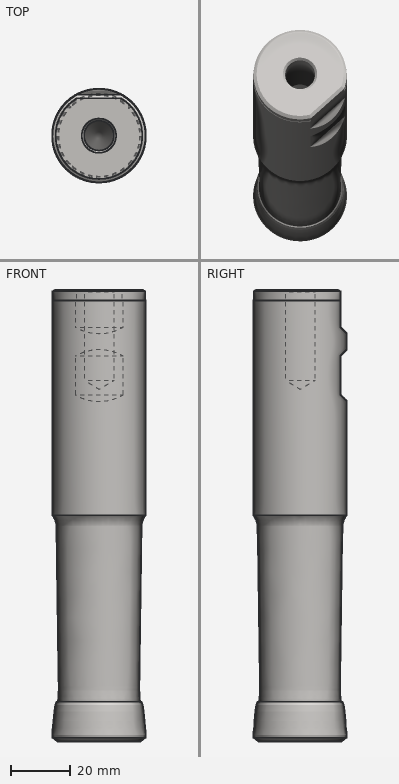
import cadquery as cq
import math

total_length = 152.4
shank_radius = 15.9
joint_height = 13.4

head_foot_radius = 13.9
head_rim_low_radius, head_rim_low_height = 15.7, 1.4
head_rim_height = 2.3
head_mid_radius, head_mid_height = 15.4, 7.0
head_upper_radius, head_upper_height = 15.1, 10.2
head_collar_radius, head_collar_height = 14.8, 12.3
head_top_radius = 14.3

neck_foot_radius = 13.9
waist_radius = 27.3 / 2
waist_low_height, waist_high_height = 17.2, 18.6
neck_top_radius, neck_top_height = 28.8 / 2, 72.7
shoulder_height = 76.4
shoulder_fillet_radius = 5.6

pilot_radius = 15.7
pilot_length = 3.5
pilot_step = shank_radius - pilot_radius
end_bevel_width = 1.0
end_bevel_height = 0.6

flat_distance = 13.7
upper_flat_length = 12.7
lower_flat_start = 22.3
lower_flat_end = 35.5
cut_clearance = 0.8

hole_diameter = 10.0
hole_depth = 30.5
hole_bevel = 0.8
drill_point_angle = 118.0


def revolve_about_z(half_outline):
    """Turn an XZ half outline that starts and ends on the Z axis."""
    return half_outline.close().revolve(360, (0, 0, 0), (0, 1, 0))


def make_head():
    outline = cq.Workplane("XZ").polyline([
        (0, 0),
        (head_foot_radius, 0),
        (head_rim_low_radius, head_rim_low_height),
        (shank_radius, head_rim_height),
        (head_mid_radius, head_mid_height),
        (head_upper_radius, head_upper_height),
        (head_collar_radius, head_collar_height),
        (head_top_radius, joint_height),
        (0, joint_height),
    ])
    return revolve_about_z(outline)


def make_turned_shank():
    rise = shoulder_height - neck_top_height
    fillet_sweep = math.asin(rise / shoulder_fillet_radius)

    def fillet_point(angle):
        return (
            neck_top_radius + shoulder_fillet_radius * (1 - math.cos(angle)),
            neck_top_height + shoulder_fillet_radius * math.sin(angle),
        )

    pilot_base = total_length - pilot_length
    outline = (
        cq.Workplane("XZ")
        .moveTo(0, joint_height)
        .lineTo(neck_foot_radius, joint_height)
        .lineTo(waist_radius, waist_low_height)
        .lineTo(waist_radius, waist_high_height)
        .lineTo(neck_top_radius, neck_top_height)
        .threePointArc(fillet_point(fillet_sweep / 2), fillet_point(fillet_sweep))
        .lineTo(shank_radius, shoulder_height)
        .lineTo(shank_radius, pilot_base - pilot_step)
        .lineTo(pilot_radius, pilot_base)
        .lineTo(pilot_radius, total_length - end_bevel_height)
        .lineTo(pilot_radius - end_bevel_width, total_length)
        .lineTo(0, total_length)
    )
    return revolve_about_z(outline)


def extrude_across(side_outline):
    """Extrude a closed YZ outline across the full width of the shank."""
    return cq.Workplane("YZ").polyline(side_outline).close().extrude(shank_radius, both=True)


def make_upper_flat_cut():
    outer = shank_radius + cut_clearance
    ramp = outer - flat_distance
    flat_bottom = total_length - upper_flat_length
    return extrude_across([
        (flat_distance - end_bevel_width, total_length),
        (flat_distance, total_length - end_bevel_height),
        (flat_distance, flat_bottom),
        (outer, flat_bottom - ramp),
        (outer, total_length),
    ])


def make_lower_flat_cut():
    outer = shank_radius + cut_clearance
    ramp = outer - flat_distance
    flat_top = total_length - lower_flat_start
    flat_bottom = total_length - lower_flat_end
    return extrude_across([
        (flat_distance, flat_top),
        (flat_distance, flat_bottom),
        (outer, flat_bottom - ramp),
        (outer, flat_top + ramp),
    ])


def make_hole_cut():
    radius = hole_diameter / 2
    point_length = radius / math.tan(math.radians(drill_point_angle / 2))
    floor = total_length - hole_depth
    outline = cq.Workplane("XZ").polyline([
        (0, floor - point_length),
        (radius, floor),
        (radius, total_length - hole_bevel),
        (radius + hole_bevel, total_length),
        (0, total_length),
    ])
    return revolve_about_z(outline)


def make_shank():
    return (
        make_turned_shank()
        .cut(make_upper_flat_cut())
        .cut(make_lower_flat_cut())
        .cut(make_hole_cut())
    )


head = make_head()
shank = make_shank()

result = cq.Compound.makeCompound([head.val(), *shank.solids().vals()])